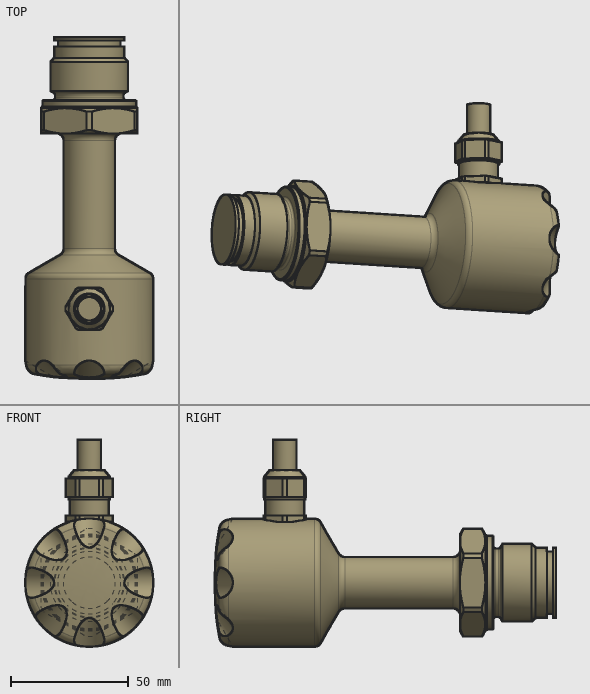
import cadquery as cq
import math

total_length = 145.4
total_height = 88.1
slope_angle = math.radians(60)

housing_radius = 54.5 / 2
rim_radius = 3.9
rim_y = 6.0
housing_end_y = 42.6

stem_radius = 22.0 / 2
blend_radius = 3.0

scallop_count = 8
scallop_radius = 8.0
scallop_tilt = 30
scallop_start = (14.8, 0.7)
scallop_overrun = 8.7
scallop_length = 36.4

nut_start_y = 104.5
nut_end_y = 116.0
nut_flats = 40.9
nut_corner_radius = 46.0 / 2
nut_stem_face_radius = 41.3 / 2
nut_chamfer_radius = 20.4
nut_chamfer_y = 115.3
flange_radius = 40.0 / 2
flange_chamfer = 0.5
flange_end_y = 118.6

head_radius = 33.2 / 2
head_start_y = 122.5
head_end_y = 135.0
undercut_radius = 29.2 / 2
undercut_fillet = 1.0
tip_radius = 30.0 / 2
tip_start_y = 136.7
tip_groove_radius = 26.8 / 2
tip_groove_start_y = 141.5
tip_groove_end_y = 144.0

gland_y = 30.0
gland_flats = 18.2
gland_corner_radius = 20.0 / 2
gland_collar_radius = 17.7 / 2
gland_body_radius = 16.7 / 2
gland_mouth_radius = 13.0 / 2
mouth_recess_radius = 12.0 / 2
mouth_recess_depth = 0.3
cable_radius = 10.0 / 2
gland_root_z = 20.4
base_hex_bottom_z = 25.9
base_hex_top_z = 28.6
collar_bottom_z = 35.5
gland_hex_bottom_z = 36.4
gland_hex_top_z = 44.3
collar_top_z = 45.0
mouth_z = 47.8
cable_top_z = total_height - housing_radius


def point_on_arc(center, radius, angle):
    return (center[0] + radius * math.cos(angle), center[1] + radius * math.sin(angle))


def revolve_about_y(profile):
    """Turn an XY outline (X is the radius) about the Y axis."""
    return profile.close().revolve(360, (0, 0, 0), (0, 1, 0))


def make_housing_and_stem():
    """Revolved domed cap, cylinder, cone and stem up to the nut."""
    rim_center = (housing_radius - rim_radius, rim_y)
    dome_radius = (rim_center[0] ** 2 + rim_y**2 - rim_radius**2) / (2 * (rim_y - rim_radius))
    dome_center = (0, dome_radius)
    rim_angle = math.atan2(rim_y - dome_radius, rim_center[0])
    dome_edge = point_on_arc(dome_center, dome_radius, rim_angle)
    dome_middle = point_on_arc(dome_center, dome_radius, (rim_angle - math.pi / 2) / 2)
    rim_middle = point_on_arc(rim_center, rim_radius, rim_angle / 2)

    blend_length = blend_radius * math.sin(slope_angle)
    blend_depth = blend_radius * (1 - math.cos(slope_angle))
    cone_start = (housing_radius - blend_depth, housing_end_y + blend_length)
    cone_end_radius = stem_radius + blend_depth
    cone_length = (cone_start[0] - cone_end_radius) / math.tan(slope_angle)
    cone_end = (cone_end_radius, cone_start[1] + cone_length)
    shoulder_center = (housing_radius - blend_radius, housing_end_y)
    neck_center = (stem_radius + blend_radius, cone_end[1] + blend_length)
    foot_center = (stem_radius + blend_radius, nut_start_y - blend_radius)

    profile = (
        cq.Workplane("XY")
        .moveTo(0, 0)
        .threePointArc(dome_middle, dome_edge)
        .threePointArc(rim_middle, (housing_radius, rim_y))
        .lineTo(housing_radius, housing_end_y)
        .threePointArc(point_on_arc(shoulder_center, blend_radius, slope_angle / 2), cone_start)
        .lineTo(*cone_end)
        .threePointArc(
            point_on_arc(neck_center, blend_radius, math.pi + slope_angle / 2),
            (stem_radius, neck_center[1]),
        )
        .lineTo(stem_radius, foot_center[1])
        .threePointArc(
            point_on_arc(foot_center, blend_radius, 3 * math.pi / 4),
            (foot_center[0], nut_start_y),
        )
        .lineTo(0, nut_start_y)
    )
    return revolve_about_y(profile)


def make_scallops():
    """Tilted cylinders spaced evenly around the cap."""
    tilt = math.radians(scallop_tilt)
    direction = cq.Vector(math.cos(tilt), math.sin(tilt), 0)
    floor_to_axis = cq.Vector(math.sin(tilt), -math.cos(tilt), 0) * scallop_radius
    start = cq.Vector(*scallop_start) + floor_to_axis - direction * scallop_overrun
    cutter = cq.Workplane(cq.Solid.makeCylinder(scallop_radius, scallop_length, start, direction))
    scallops = cq.Workplane("XY")
    for index in range(scallop_count):
        angle = index * 360 / scallop_count
        scallops = scallops.add(cutter.rotate((0, 0, 0), (0, 1, 0), angle))
    return scallops.combine()


def make_nut():
    """Hexagon with flats facing +-X, its corners rounded off and chamfered."""
    across_corners = nut_flats / math.cos(math.pi / 6)
    hexagon = (
        cq.Workplane("XZ", origin=(0, nut_start_y, 0))
        .polygon(6, across_corners)
        .extrude(nut_start_y - nut_end_y)
        .rotate((0, 0, 0), (0, 1, 0), 90)
    )
    start_chamfer = (nut_corner_radius - nut_stem_face_radius) / math.tan(slope_angle)
    end_chamfer = (nut_corner_radius - nut_chamfer_radius) / math.tan(slope_angle)
    envelope = (
        cq.Workplane("XY")
        .moveTo(0, nut_start_y)
        .lineTo(nut_stem_face_radius, nut_start_y)
        .lineTo(nut_corner_radius, nut_start_y + start_chamfer)
        .lineTo(nut_corner_radius, nut_chamfer_y - end_chamfer)
        .lineTo(nut_chamfer_radius, nut_chamfer_y)
        .lineTo(flange_radius, nut_end_y)
        .lineTo(0, nut_end_y)
    )
    return hexagon.intersect(revolve_about_y(envelope))


def make_probe_head():
    """Revolved flange, undercut, sealing diameter and grooved tip."""
    undercut_start = undercut_radius + undercut_fillet * (1 - math.cos(slope_angle))
    undercut_chamfer = (head_radius - undercut_start) / math.tan(slope_angle)
    undercut_end_y = head_start_y - undercut_chamfer
    fillet_center_radius = undercut_radius + undercut_fillet
    lower_center = (fillet_center_radius, flange_end_y + undercut_fillet)
    upper_center = (fillet_center_radius, undercut_end_y - undercut_fillet * math.sin(slope_angle))

    profile = (
        cq.Workplane("XY")
        .moveTo(0, nut_end_y)
        .lineTo(flange_radius, nut_end_y)
        .lineTo(flange_radius, flange_end_y - flange_chamfer)
        .lineTo(flange_radius - flange_chamfer, flange_end_y)
        .lineTo(fillet_center_radius, flange_end_y)
        .threePointArc(
            point_on_arc(lower_center, undercut_fillet, 5 * math.pi / 4),
            (undercut_radius, lower_center[1]),
        )
        .lineTo(undercut_radius, upper_center[1])
        .threePointArc(
            point_on_arc(upper_center, undercut_fillet, math.pi - slope_angle / 2),
            (undercut_start, undercut_end_y),
        )
        .lineTo(head_radius, head_start_y)
        .lineTo(head_radius, head_end_y)
        .lineTo(tip_radius, tip_start_y)
        .lineTo(tip_radius, tip_groove_start_y)
        .lineTo(tip_groove_radius, tip_groove_start_y)
        .lineTo(tip_groove_radius, tip_groove_end_y)
        .lineTo(tip_radius, tip_groove_end_y)
        .lineTo(tip_radius, total_length)
        .lineTo(0, total_length)
    )
    return revolve_about_y(profile)


def make_gland_hexagon(bottom_z, top_z):
    """Hexagon with flats facing +-Y and its corners rounded off."""
    across_corners = gland_flats / math.cos(math.pi / 6)
    base = cq.Workplane("XY", origin=(0, gland_y, bottom_z))
    hexagon = base.polygon(6, across_corners).extrude(top_z - bottom_z)
    return hexagon.intersect(base.circle(gland_corner_radius).extrude(top_z - bottom_z))


def make_gland():
    """Stepped gland with two hexagons and the cable leaving it."""
    core = (
        cq.Workplane("XZ", origin=(0, gland_y, 0))
        .moveTo(0, gland_root_z)
        .lineTo(gland_body_radius, gland_root_z)
        .lineTo(gland_body_radius, collar_bottom_z)
        .lineTo(gland_collar_radius, collar_bottom_z)
        .lineTo(gland_collar_radius, collar_top_z)
        .lineTo(gland_mouth_radius, mouth_z)
        .lineTo(mouth_recess_radius, mouth_z)
        .lineTo(mouth_recess_radius, mouth_z - mouth_recess_depth)
        .lineTo(cable_radius, mouth_z - mouth_recess_depth)
        .lineTo(cable_radius, cable_top_z)
        .lineTo(0, cable_top_z)
        .close()
        .revolve(360, (0, 0, 0), (0, 1, 0))
    )
    base_hexagon = make_gland_hexagon(base_hex_bottom_z, base_hex_top_z)
    cap_hexagon = make_gland_hexagon(gland_hex_bottom_z, gland_hex_top_z)
    return core.union(base_hexagon).union(cap_hexagon)


housing = make_housing_and_stem().cut(make_scallops())
result = housing.union(make_nut()).union(make_probe_head()).union(make_gland())